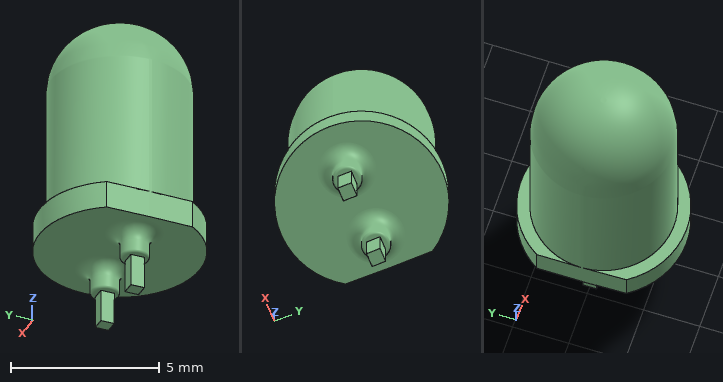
import cadquery as cq
import math

total_height = 10.8

body_radius = 2.5
dome_radius = 2.4

flange_radius = 2.95
flange_thickness = 1.0
flat_offset = body_radius
flat_tilt = 1.2

lead_spacing = 2.54
lead_width = 0.5
lead_exposed_length = 1.2
standoff_radius = 0.5
standoff_height = 1.0
standoff_edge_round = 0.1
flare_radius = 0.5

standoff_bottom = lead_exposed_length
flange_bottom = standoff_bottom + standoff_height
body_height = total_height - flange_bottom


def make_body():
    body = cq.Workplane("XY").workplane(offset=flange_bottom).circle(body_radius).extrude(body_height)
    return body.faces(">Z").edges().fillet(dome_radius)


def make_flange():
    """Disc cut flat on its -X side."""
    disc = cq.Workplane("XY").workplane(offset=flange_bottom).circle(flange_radius).extrude(flange_thickness)
    keep_length = flat_offset + flange_radius
    keep_block = (
        cq.Workplane("XY")
        .box(keep_length, 2 * flange_radius, total_height, centered=(False, True, False))
        .translate((-flat_offset, 0, 0))
    )
    return disc.intersect(keep_block)


def make_tilted_cutter():
    """Wedge outside the leaning -Y half of the flat, over the full height."""
    lean = flange_radius * math.tan(math.radians(flat_tilt))
    return (
        cq.Workplane("XY")
        .moveTo(-flat_offset, 0)
        .lineTo(-flat_offset + lean, -flange_radius)
        .lineTo(-flange_radius, -flange_radius)
        .lineTo(-flange_radius, 0)
        .close()
        .extrude(total_height)
    )


def make_standoff():
    """Revolved standoff, rounded at its lower edge and flaring into the flange."""
    round_top = standoff_bottom + standoff_edge_round
    round_start = standoff_radius - standoff_edge_round
    flare_bottom = flange_bottom - flare_radius
    flare_rim = standoff_radius + flare_radius
    profile = (
        cq.Workplane("XZ")
        .moveTo(0, standoff_bottom)
        .lineTo(round_start, standoff_bottom)
        .radiusArc((standoff_radius, round_top), -standoff_edge_round)
        .lineTo(standoff_radius, flare_bottom)
        .radiusArc((flare_rim, flange_bottom), flare_radius)
        .lineTo(0, flange_bottom)
        .close()
    )
    return profile.revolve(360, (0, 0, 0), (0, 1, 0))


def make_lead():
    """Square lead running from its tip up to the flange."""
    return cq.Workplane("XY").rect(lead_width, lead_width).extrude(flange_bottom)


result = make_body().union(make_flange()).cut(make_tilted_cutter())
lead_with_standoff = make_standoff().union(make_lead())
for side in (-1, 1):
    result = result.union(lead_with_standoff.translate((side * lead_spacing / 2, 0, 0)))